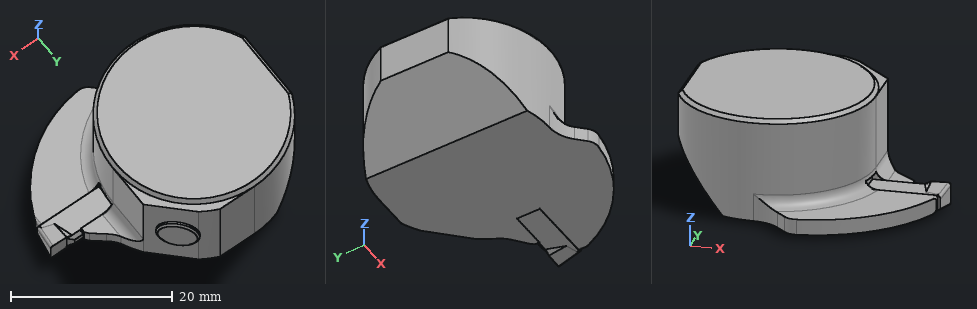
import cadquery as cq
import math

SHANK_RADIUS = 12.5
SHANK_HEIGHT = 13.55
TOP_CHAMFER = 0.5
SIDE_FLAT_X = -11.5
SLANT_LEG = 7.43

SHOULDER_HEIGHT = SHANK_HEIGHT - TOP_CHAMFER
SHOULDER_RADIUS = 13.55
SHOULDER_FLAT_OFFSET = 13.3

PAD_DIAMETER = 5.5
PAD_THICKNESS = 0.55
PAD_CHAMFER = 0.27
PAD_AXIS_HEIGHT = 6.72

BLADE_THICKNESS = 2.05
ROOT_FILLET = 1.58
HEEL_RADIUS = 4.9
HEEL_CORNER_RADIUS = 2.0
RIM_CENTER_X = 4.47
RIM_CENTER_Y = 2.15
RIM_RADIUS = 17.98
BLADE_END_X = 21.3
BLADE_END_FILLET = 0.37

WEB_TOP_MID = (13.3, 5.1)
WEB_NECK = (14.05, 3.73)
WEB_NECK_MID = (14.55, 3.05)
WEB_FLANK_START = (15.3, 2.4)
WEB_FLANK_END = (16.95, 1.05)
WEB_END_X = 17.35
WEB_END_Y = 0.55

INSERT_WIDTH = 3.45
INSERT_START_X = 12.1
RAKE_STEP = 0.1
POCKET_HEIGHT = 3.05

TIP_FRONT_X = 22.1
TIP_FRONT_RELIEF = 0.47
TIP_FOOT_X = 18.78
TIP_CREST_X = 19.62
TIP_CREST_RISE = 0.4
TIP_FRONT_RISE = 0.5
TIP_SIDE_RELIEF = 0.55
TIP_CORNER_RADIUS = 0.37

TIP_REAR_X = TIP_FRONT_X - TIP_FRONT_RELIEF
BAR_END_X = TIP_REAR_X - TIP_CORNER_RADIUS

BREAKER_START_X = 17.47
BREAKER_CREST_END_X = 18.75
BREAKER_HEIGHT = 0.5

BLADE_MID_Z = BLADE_THICKNESS / 2
COS_45 = math.sqrt(0.5)


def make_shank():
    side_flat = cq.Workplane("XY").box(
        SHANK_RADIUS - SIDE_FLAT_X, 2 * SHANK_RADIUS, SHANK_HEIGHT, centered=(False, True, False)
    ).translate((SIDE_FLAT_X, 0, 0))
    shank = cq.Workplane("XY").circle(SHANK_RADIUS).extrude(SHANK_HEIGHT).intersect(side_flat)
    return shank.faces(">Z").chamfer(TOP_CHAMFER)


def flat_y(x):
    """Y of the 45 degree flat at a given X."""
    return SHOULDER_FLAT_OFFSET / COS_45 - x


def make_shoulder():
    """Quarter block bounded by two faces tangent to the shank, an arc and the 45 degree flat."""
    arc_start_angle = math.asin(SHANK_RADIUS / SHOULDER_RADIUS)
    arc_end_angle = math.pi / 4 + math.acos(SHOULDER_FLAT_OFFSET / SHOULDER_RADIUS)
    arc_mid_angle = (arc_start_angle + arc_end_angle) / 2

    def on_arc(angle):
        return SHOULDER_RADIUS * math.cos(angle), SHOULDER_RADIUS * math.sin(angle)

    return (
        cq.Workplane("XY")
        .lineTo(0, SHANK_RADIUS)
        .lineTo(*on_arc(arc_start_angle))
        .threePointArc(on_arc(arc_mid_angle), on_arc(arc_end_angle))
        .lineTo(SHANK_RADIUS, flat_y(SHANK_RADIUS))
        .lineTo(SHANK_RADIUS, 0)
        .close()
        .extrude(SHOULDER_HEIGHT)
    )


def make_pad():
    center = SHOULDER_FLAT_OFFSET * COS_45
    flat_plane = cq.Plane(
        origin=(center, center, PAD_AXIS_HEIGHT), xDir=(1, -1, 0), normal=(1, 1, 0)
    )
    return (
        cq.Workplane(flat_plane)
        .circle(PAD_DIAMETER / 2)
        .extrude(PAD_THICKNESS)
        .faces(">(1, 1, 0)")
        .chamfer(PAD_CHAMFER)
    )


def rim_point(angle):
    return RIM_CENTER_X + RIM_RADIUS * math.cos(angle), RIM_CENTER_Y + RIM_RADIUS * math.sin(angle)


def blade_prism(height):
    """Blade outline, from the heel round the rim and back along the web, as an upright prism."""
    heel_mid_angle = math.pi / 8
    heel_mid = (
        HEEL_RADIUS * math.sin(heel_mid_angle),
        -SHANK_RADIUS - HEEL_RADIUS * (1 - math.cos(heel_mid_angle)),
    )
    heel_end = (HEEL_RADIUS * COS_45, -SHANK_RADIUS - HEEL_RADIUS * (1 - COS_45))
    line_distance = (heel_end[0] - RIM_CENTER_X + heel_end[1] - RIM_CENTER_Y) * COS_45
    rim_start_angle = -math.pi * 3 / 4 + math.acos(-line_distance / RIM_RADIUS)
    rim_end_angle = -math.asin((INSERT_WIDTH + RIM_CENTER_Y) / RIM_RADIUS)
    outline = (
        cq.Workplane("XY")
        .moveTo(0, -SHANK_RADIUS)
        .threePointArc(heel_mid, heel_end)
        .lineTo(*rim_point(rim_start_angle))
        .threePointArc(rim_point((rim_start_angle + rim_end_angle) / 2), rim_point(rim_end_angle))
        .lineTo(WEB_END_X, -INSERT_WIDTH)
        .lineTo(WEB_END_X, WEB_END_Y)
        .lineTo(*WEB_FLANK_END)
        .lineTo(*WEB_FLANK_START)
        .threePointArc(WEB_NECK_MID, WEB_NECK)
        .threePointArc(WEB_TOP_MID, (SHANK_RADIUS, flat_y(SHANK_RADIUS)))
        .lineTo(0, flat_y(SHANK_RADIUS))
        .close()
        .extrude(height)
    )
    heel_corner = cq.selectors.NearestToPointSelector((*rim_point(rim_start_angle), height / 2))
    return outline.edges("|Z").edges(heel_corner).fillet(HEEL_CORNER_RADIUS)


def make_blade():
    rounded_end = (
        cq.Workplane("XY")
        .box(BLADE_END_X, 2 * RIM_RADIUS, BLADE_THICKNESS, centered=(False, True, False))
        .faces(">X")
        .edges("|Y")
        .fillet(BLADE_END_FILLET)
    )
    return blade_prism(BLADE_THICKNESS).intersect(rounded_end)


def fillet_profile(plane):
    """Concave fillet section between the upright shank wall and the blade's upper face."""
    outer = SHANK_RADIUS + ROOT_FILLET
    top = BLADE_THICKNESS + ROOT_FILLET
    mid = (outer - ROOT_FILLET * COS_45, top - ROOT_FILLET * COS_45)
    return (
        cq.Workplane(plane)
        .moveTo(0, BLADE_THICKNESS)
        .lineTo(outer, BLADE_THICKNESS)
        .threePointArc(mid, (SHANK_RADIUS, top))
        .lineTo(0, top)
        .close()
    )


def make_root_fillet():
    """Fillet round the shank on the rim side, running straight along the shoulder on the web side."""
    round_part = fillet_profile("XZ").revolve(90, (0, 0, 0), (0, -1, 0))
    straight_part = fillet_profile("XZ").extrude(-flat_y(SHANK_RADIUS))
    within_blade = blade_prism(BLADE_THICKNESS + ROOT_FILLET)
    return round_part.union(straight_part).intersect(within_blade)


def make_slant():
    """Wedge taken off the underside at the side flat, at 45 degrees."""
    return (
        cq.Workplane("XZ")
        .moveTo(SIDE_FLAT_X, 0)
        .lineTo(SIDE_FLAT_X + SLANT_LEG, 0)
        .lineTo(SIDE_FLAT_X, SLANT_LEG)
        .close()
        .extrude(SHANK_RADIUS, both=True)
    )


def make_insert_pocket():
    return cq.Workplane("XY").box(
        TIP_FRONT_X - INSERT_START_X, INSERT_WIDTH - RAKE_STEP, POCKET_HEIGHT, centered=False
    ).translate((INSERT_START_X, -INSERT_WIDTH, 0))


def make_holder():
    holder = make_shank().union(make_shoulder()).union(make_pad())
    holder = holder.union(make_blade()).union(make_root_fillet())
    return holder.cut(make_slant()).cut(make_insert_pocket())


def make_insert_bar():
    return (
        cq.Workplane("XY")
        .moveTo(INSERT_START_X, -INSERT_WIDTH)
        .lineTo(BAR_END_X, -INSERT_WIDTH)
        .lineTo(BAR_END_X, 0)
        .lineTo(WEB_END_X, 0)
        .lineTo(WEB_END_X, -RAKE_STEP)
        .lineTo(INSERT_START_X, -RAKE_STEP)
        .close()
        .extrude(BLADE_THICKNESS)
    )


def tip_section(foot_z, front_x):
    """Half of the tip's section above mid height, mirrored below; heights from mid height."""
    upper = [
        (TIP_FOOT_X, foot_z),
        (TIP_CREST_X, foot_z + TIP_CREST_RISE),
        (front_x, foot_z + TIP_FRONT_RISE),
    ]
    lower = [(x, -z) for x, z in reversed(upper)]
    return upper + lower


def make_tip():
    """Cutting tip, lofted from the rake face back to the narrower, shorter rear section."""
    rake = tip_section(BLADE_MID_Z, TIP_FRONT_X)
    rear = tip_section(BLADE_MID_Z - TIP_SIDE_RELIEF, TIP_REAR_X)
    tip = (
        cq.Workplane("XZ", origin=(0, 0, BLADE_MID_Z))
        .polyline(rake)
        .close()
        .workplane(offset=INSERT_WIDTH)
        .polyline(rear)
        .close()
        .loft(ruled=True)
    )
    front_corners = cq.selectors.BoxSelector(
        (TIP_REAR_X, -INSERT_WIDTH, -BLADE_THICKNESS), (TIP_FRONT_X, 0, 2 * BLADE_THICKNESS)
    )
    return tip.edges("not(#Y)").edges(front_corners).fillet(TIP_CORNER_RADIUS)


def make_chip_breaker():
    """Ridge on the rake face with 45 degree flanks, running out towards the cutting edge."""
    flanks = (
        cq.Workplane("YZ", origin=(BREAKER_START_X, 0, 0))
        .lineTo(BREAKER_HEIGHT, BREAKER_HEIGHT)
        .lineTo(BREAKER_HEIGHT, BLADE_THICKNESS - BREAKER_HEIGHT)
        .lineTo(0, BLADE_THICKNESS)
        .close()
        .extrude(TIP_CREST_X - BREAKER_START_X)
    )
    run_out = (
        cq.Workplane("XY")
        .moveTo(BREAKER_START_X, 0)
        .lineTo(BREAKER_START_X, BREAKER_HEIGHT)
        .lineTo(BREAKER_CREST_END_X, BREAKER_HEIGHT)
        .lineTo(TIP_CREST_X, 0)
        .close()
        .extrude(BLADE_THICKNESS)
    )
    return flanks.intersect(run_out)


def make_insert():
    return make_insert_bar().union(make_tip()).union(make_chip_breaker())


holder = make_holder()
insert = make_insert()
result = cq.Compound.makeCompound([holder.solids().val(), insert.solids().val()])